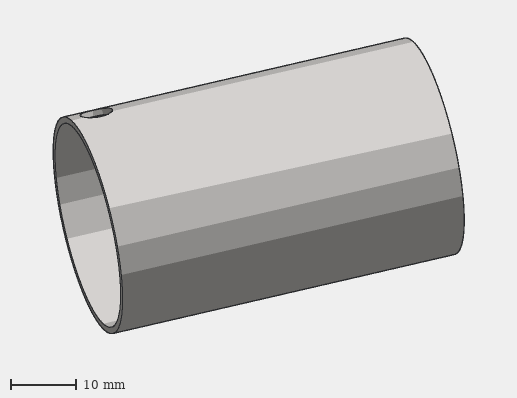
import cadquery as cq

outer_diameter = 34.0
wall_thickness = 1.0
length = 55.0

hole_diameter = 5.0
hole_setback = 4.35
hole_tilt = 32.2

outer_radius = outer_diameter / 2
inner_radius = outer_radius - wall_thickness


def make_tube():
    """Open tube with its front end face at Y = 0, running towards +Y."""
    return cq.Workplane("XZ").circle(outer_radius).circle(inner_radius).extrude(-length)


def make_hole_cutter():
    """Radial cylinder from the tube axis out past the wall on the upper -X side."""
    cutter_length = outer_radius + wall_thickness
    upright = (
        cq.Workplane("XY")
        .center(0, hole_setback)
        .circle(hole_diameter / 2)
        .extrude(cutter_length)
    )
    return upright.rotate((0, 0, 0), (0, 1, 0), -hole_tilt)


result = make_tube().cut(make_hole_cutter())